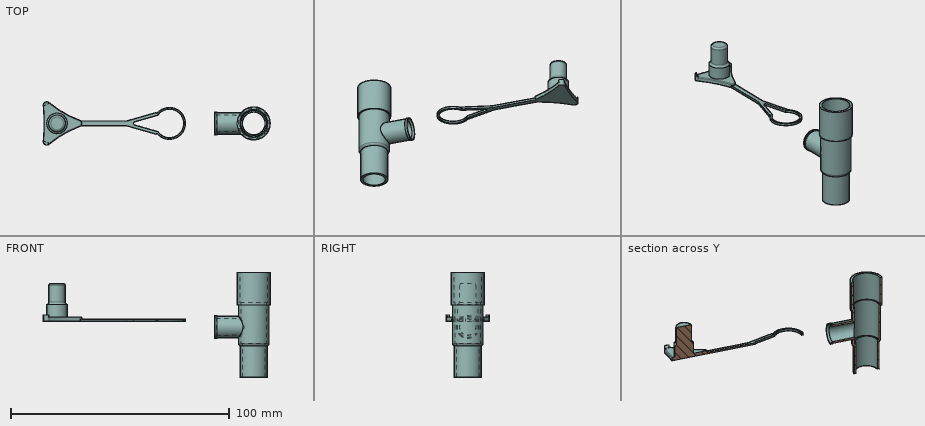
import cadquery as cq
import math

TUBE_X = 96.4
TUBE_HEIGHT = 48.0
SOCKET_DIA = 15.2
SOCKET_BORE = 12.8
BODY_DIA = 14.0
BODY_BORE = 11.7
SPIGOT_DIA = 12.5
SPIGOT_BORE = 10.3
SOCKET_BOTTOM_Z = 33.2
ROUNDING_TOP_Z = 15.6
BODY_ROUNDING = 1.2
SOCKET_FLOOR = 1.1

PORT_MOUTH_X = 78.5
PORT_Z = 23.1
PORT_DIA = 10.0
COLLAR_DIA = 10.4
COLLAR_WIDTH = 1.0
MOUTH_DIA = 9.5
MOUTH_BORE = 7.7
PORT_END_BORE = 7.4

CAP_BOTTOM_Z = 25.7
STRAP_THICKNESS = 1.0
PLATE_THICKNESS = 2.0
PLATE_EDGE_ROUNDING = 0.3

CORNER_RADIUS = 1.7
CAP_WIDTH = 19.9
CORNER_Y = CAP_WIDTH / 2 - CORNER_RADIUS
BACK_HOLLOW_RADIUS = 83.2
SIDE_HOLLOW_RADIUS = 46.8
TIP_X = 17.7
TIP_RADIUS = 1.6
COVE_RADIUS = 0.9

PLUG_X = 6.3
PLUG_BASE_DIA = 9.5
PLUG_DIA = 7.7
PLUG_BASE_TOP_Z = 33.3
PLUG_TOP_Z = 42.9
PLUG_COVE_RADIUS = 1.2
PLUG_TOP_ROUNDING = 0.9

STRAP_WIDTH = 2.3
FORK_X = 38.2
LOOP_X = 57.8
LOOP_DIA = 14.7
LOOP_WALL = 0.8
ARM_END = (51.7, 5.0)
CROTCH_X = 41.4
CROTCH_RADIUS = 0.7


def disc(diameter, bottom, top):
    return cq.Workplane("XY").workplane(offset=bottom).circle(diameter / 2).extrude(top - bottom)


def vertical_start_arc(radius, run):
    """Middle and end of an arc that starts vertical and moves sideways by run.

    Each point is (sideways, drop) measured from the start of the arc.
    """
    end_angle = math.acos(1 - run / radius)
    points = []
    for angle in (end_angle / 2, end_angle):
        points.append((radius * (1 - math.cos(angle)), radius * math.sin(angle)))
    return points


def make_vertical_tube():
    body_r = BODY_DIA / 2
    mid, end = vertical_start_arc(BODY_ROUNDING, (BODY_DIA - SPIGOT_DIA) / 2)
    outside = (
        cq.Workplane("XZ")
        .moveTo(0, 0)
        .lineTo(SPIGOT_DIA / 2, 0)
        .lineTo(SPIGOT_DIA / 2, ROUNDING_TOP_Z - end[1])
        .threePointArc((body_r - mid[0], ROUNDING_TOP_Z - mid[1]), (body_r, ROUNDING_TOP_Z))
        .lineTo(body_r, SOCKET_BOTTOM_Z)
        .lineTo(SOCKET_DIA / 2, SOCKET_BOTTOM_Z)
        .lineTo(SOCKET_DIA / 2, TUBE_HEIGHT)
        .lineTo(0, TUBE_HEIGHT)
        .close()
        .revolve(360, (0, 0, 0), (0, 1, 0))
    )
    return outside.translate((TUBE_X, 0, 0))


def make_tube_bore():
    bore = disc(SPIGOT_BORE, 0, TUBE_HEIGHT)
    bore = bore.union(disc(BODY_BORE, ROUNDING_TOP_Z, TUBE_HEIGHT))
    bore = bore.union(disc(SOCKET_BORE, SOCKET_BOTTOM_Z + SOCKET_FLOOR, TUBE_HEIGHT))
    return bore.translate((TUBE_X, 0, 0))


def along_port(half_profile):
    """Revolve (distance from mouth, radius) points about the port axis."""
    profile = cq.Workplane("XZ").polyline(half_profile).close()
    return profile.revolve(360, (0, 0, 0), (1, 0, 0)).translate((PORT_MOUTH_X, 0, PORT_Z))


def make_tee():
    length = TUBE_X - PORT_MOUTH_X
    port = along_port([
        (0, 0),
        (0, COLLAR_DIA / 2),
        (COLLAR_WIDTH, COLLAR_DIA / 2),
        (COLLAR_WIDTH, PORT_DIA / 2),
        (length, PORT_DIA / 2),
        (length, 0),
    ])
    lead_in = (MOUTH_DIA - MOUTH_BORE) / 2
    port_bore = along_port([
        (0, 0),
        (0, MOUTH_DIA / 2),
        (lead_in, MOUTH_BORE / 2),
        (length, PORT_END_BORE / 2),
        (length, 0),
    ])
    return make_vertical_tube().union(port).cut(make_tube_bore()).cut(port_bore)


def side_hollow_centre():
    """Centre of the +Y side arc, which touches the corner arc and the tip arc."""
    tip_centre_x = TIP_X - TIP_RADIUS
    to_corner = SIDE_HOLLOW_RADIUS + CORNER_RADIUS
    to_tip = SIDE_HOLLOW_RADIUS + TIP_RADIUS
    run = tip_centre_x - CORNER_RADIUS
    span = math.hypot(run, CORNER_Y)
    along = (to_corner**2 - to_tip**2 + span**2) / (2 * span)
    across = math.sqrt(to_corner**2 - along**2)
    return (
        CORNER_RADIUS + (along * run + across * CORNER_Y) / span,
        CORNER_Y + (across * run - along * CORNER_Y) / span,
    )


def corner_side_angle():
    """Angle, in radians, where the +Y corner arc runs into the side arc."""
    x, y = side_hollow_centre()
    return math.atan2(y - CORNER_Y, x - CORNER_RADIUS)


def make_plate():
    def on_circle(centre, radius, angle):
        return (centre[0] + radius * math.cos(angle), centre[1] + radius * math.sin(angle))

    def mirrored(point):
        return (point[0], -point[1])

    corner_centre = (CORNER_RADIUS, CORNER_Y)
    tip_centre = (TIP_X - TIP_RADIUS, 0)
    side_centre = side_hollow_centre()

    side_angle = corner_side_angle()
    back_angle = math.pi + math.asin(CORNER_Y / (BACK_HOLLOW_RADIUS + CORNER_RADIUS))
    corner_back = on_circle(corner_centre, CORNER_RADIUS, back_angle)
    corner_mid = on_circle(corner_centre, CORNER_RADIUS, (side_angle + back_angle) / 2)
    corner_side = on_circle(corner_centre, CORNER_RADIUS, side_angle)

    tip_angle = math.atan2(side_centre[1], side_centre[0] - tip_centre[0])
    tip_side = on_circle(tip_centre, TIP_RADIUS, tip_angle)
    side_mid_angle = math.pi + (side_angle + tip_angle) / 2
    side_mid = on_circle(side_centre, SIDE_HOLLOW_RADIUS, side_mid_angle)

    back_to_corners = (BACK_HOLLOW_RADIUS + CORNER_RADIUS) * math.cos(back_angle - math.pi)
    back_mid = (CORNER_RADIUS - back_to_corners + BACK_HOLLOW_RADIUS, 0)

    outline = (
        cq.Workplane("XY")
        .moveTo(*corner_back)
        .threePointArc(corner_mid, corner_side)
        .threePointArc(side_mid, tip_side)
        .threePointArc((TIP_X, 0), mirrored(tip_side))
        .threePointArc(mirrored(side_mid), mirrored(corner_side))
        .threePointArc(mirrored(corner_mid), mirrored(corner_back))
        .threePointArc(back_mid, corner_back)
        .close()
    )
    return outline.extrude(PLATE_THICKNESS).faces(">Z").edges().fillet(PLATE_EDGE_ROUNDING)


def make_corner_lip():
    """Raised rim around the +Y corner, coved down to the plate on its inner side."""
    start_angle = math.degrees(corner_side_angle())
    inner = CORNER_RADIUS - COVE_RADIUS
    cove_z = PLATE_THICKNESS + COVE_RADIUS
    diagonal = COVE_RADIUS * math.sqrt(0.5)
    return (
        cq.Workplane("XZ")
        .moveTo(inner, 0)
        .lineTo(CORNER_RADIUS, 0)
        .lineTo(CORNER_RADIUS, cove_z)
        .threePointArc((inner + diagonal, cove_z - diagonal), (inner, PLATE_THICKNESS))
        .close()
        .revolve(180 - start_angle, (0, 0, 0), (0, 1, 0))
        .rotate((0, 0, 0), (0, 0, 1), start_angle)
        .translate((CORNER_RADIUS, CORNER_Y, 0))
    )


def make_plug():
    radius = PLUG_DIA / 2
    base_radius = PLUG_BASE_DIA / 2
    base_top = PLUG_BASE_TOP_Z - CAP_BOTTOM_Z
    top = PLUG_TOP_Z - CAP_BOTTOM_Z
    mid, end = vertical_start_arc(PLUG_COVE_RADIUS, base_radius - radius)
    cove_top = base_top + end[1]
    plug = (
        cq.Workplane("XZ")
        .moveTo(0, 0)
        .lineTo(base_radius, 0)
        .lineTo(base_radius, base_top)
        .threePointArc((radius + mid[0], cove_top - mid[1]), (radius, cove_top))
        .lineTo(radius, top)
        .lineTo(0, top)
        .close()
        .revolve(360, (0, 0, 0), (0, 1, 0))
        .faces(">Z")
        .edges()
        .fillet(PLUG_TOP_ROUNDING)
    )
    return plug.translate((PLUG_X, 0, 0))


def make_strap():
    half = STRAP_WIDTH / 2
    bar = cq.Workplane("XY").polyline(
        [(PLUG_X, -half), (FORK_X, -half), (FORK_X, half), (PLUG_X, half)]
    ).close().extrude(STRAP_THICKNESS)
    arm_x, arm_y = ARM_END
    fork = cq.Workplane("XY").polyline([
        (FORK_X, half),
        ARM_END,
        (LOOP_X, 0),
        (arm_x, -arm_y),
        (FORK_X, -half),
    ]).close().extrude(STRAP_THICKNESS)
    ring = disc(LOOP_DIA, 0, STRAP_THICKNESS).translate((LOOP_X, 0, 0))

    slope = math.atan2(arm_y - half, arm_x - FORK_X)
    centre_x = CROTCH_X + CROTCH_RADIUS
    start_x = centre_x - CROTCH_RADIUS * math.sin(slope)
    start_y = CROTCH_RADIUS * math.cos(slope)
    wedge_end_x = arm_x + LOOP_WALL
    wedge_end_y = start_y + (wedge_end_x - start_x) * math.tan(slope)
    wedge = (
        cq.Workplane("XY")
        .moveTo(start_x, start_y)
        .lineTo(wedge_end_x, wedge_end_y)
        .lineTo(LOOP_X, 0)
        .lineTo(wedge_end_x, -wedge_end_y)
        .lineTo(start_x, -start_y)
        .threePointArc((CROTCH_X, 0), (start_x, start_y))
        .close()
        .extrude(STRAP_THICKNESS)
    )
    loop_hole = disc(LOOP_DIA - 2 * LOOP_WALL, 0, STRAP_THICKNESS).translate((LOOP_X, 0, 0))
    return bar.union(fork).union(ring).cut(wedge).cut(loop_hole)


def make_cap():
    lip = make_corner_lip()
    cap = make_plate().union(lip).union(lip.mirror("XZ"))
    cap = cap.union(make_plug()).union(make_strap())
    return cap.translate((0, 0, CAP_BOTTOM_Z))


tee = make_tee()
cap = make_cap()

result = cq.Compound.makeCompound([tee.solids().val(), cap.solids().val()])